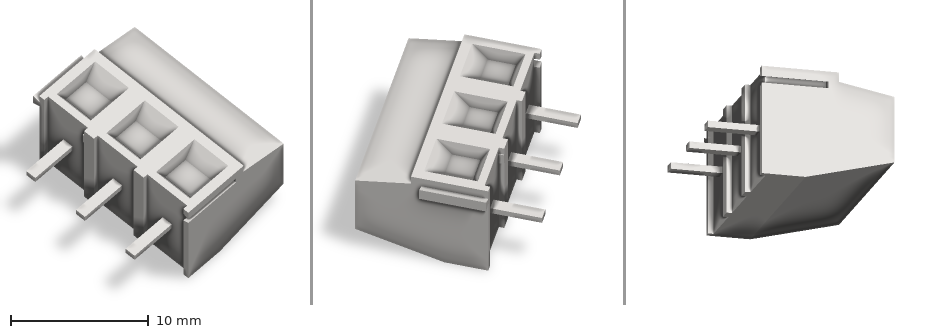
import cadquery as cq


total_length = 15.6
tongue_depth = 0.61
way_count = 3
pitch = (total_length - tongue_depth) / way_count

housing_depth = 10.0
housing_height = 8.2
top_flat_depth = 5.8
top_step = 0.72
rear_top_drop = 1.5
rear_bottom_rise = 1.7
bottom_flat_depth = 3.3

rib_width = 0.5
recess_depth = 0.4

funnel_front = 1.0
funnel_width = 3.4
funnel_length = 4.02
funnel_depth = 1.0
funnel_floor_width = 2.8
funnel_floor_length = 2.12
funnel_front_run = 0.64

tongue_length = funnel_front + funnel_length
tongue_neck_height = 0.5
tongue_tip_height = 0.9
tongue_drop = 1.03
tongue_height = housing_height - tongue_drop

pin_width = 0.9
pin_thickness = 0.5
pin_length = 3.5
pin_height = housing_height / 2


def way_center(index):
    return (index + 0.5) * pitch


def housing_body():
    """Side profile extruded along the whole row."""
    profile = [
        (0, 0),
        (bottom_flat_depth, 0),
        (housing_depth, rear_bottom_rise),
        (housing_depth, housing_height - rear_top_drop),
        (top_flat_depth, housing_height - top_step),
        (top_flat_depth, housing_height),
        (0, housing_height),
    ]
    return cq.Workplane("YZ").polyline(profile).close().extrude(way_count * pitch)


def front_recess(center_x):
    return cq.Workplane("XY", origin=(center_x, 0, 0)).box(
        pitch - 2 * rib_width, recess_depth, housing_height, centered=(True, False, False)
    )


def wire_funnel(center_x):
    """Tapered pocket whose smaller floor lies nearer its front edge."""
    mouth_center_y = funnel_front + funnel_length / 2
    floor_center_y = funnel_front + funnel_front_run + funnel_floor_length / 2
    return (
        cq.Workplane("XY", origin=(center_x, mouth_center_y, housing_height))
        .rect(funnel_width, funnel_length)
        .workplane(offset=-funnel_depth)
        .center(0, floor_center_y - mouth_center_y)
        .rect(funnel_floor_width, funnel_floor_length)
        .loft(ruled=True)
    )


def solder_pin(center_x):
    """Pin reaching from the recess floor to its tip in front of the housing."""
    return cq.Workplane("XY", origin=(center_x, -pin_length, pin_height)).box(
        pin_width, pin_length + recess_depth, pin_thickness, centered=(True, False, True)
    )


def dovetail(root_x):
    """Dovetail bar that widens toward -X from the housing side at root_x."""
    profile = [
        (0, -tongue_neck_height / 2),
        (-tongue_depth, -tongue_tip_height / 2),
        (-tongue_depth, tongue_tip_height / 2),
        (0, tongue_neck_height / 2),
    ]
    return (
        cq.Workplane("XZ", origin=(root_x, 0, tongue_height))
        .polyline(profile)
        .close()
        .extrude(-tongue_length)
    )


def terminal_block():
    """Housing with its pins, a dovetail tongue on -X and the matching groove on +X."""
    block = housing_body().union(dovetail(0)).cut(dovetail(way_count * pitch))
    for index in range(way_count):
        center_x = way_center(index)
        block = block.cut(front_recess(center_x)).cut(wire_funnel(center_x))
        block = block.union(solder_pin(center_x))
    return block


def dovetail_key():
    """Tip of a dovetail rooted between the first two ways, where it stands in the first recess."""
    return dovetail(pitch).intersect(front_recess(way_center(0)))


block = terminal_block()
key = dovetail_key()

result = cq.Compound.makeCompound([block.solids().val(), key.solids().val()])